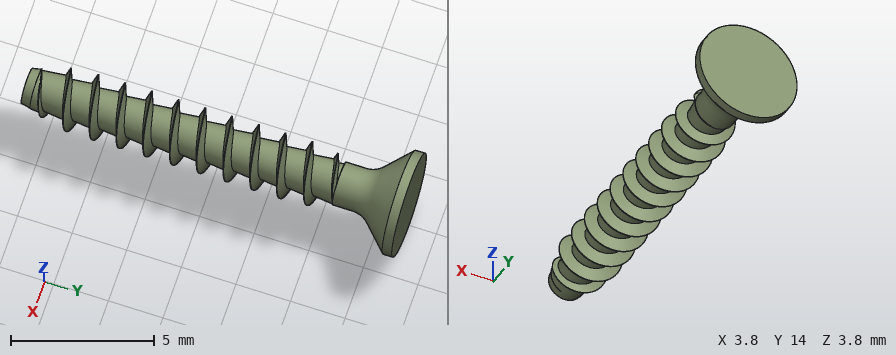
import cadquery as cq
import math

LENGTH = 14.0

HEAD_DIAMETER = 3.8
HEAD_RADIUS = HEAD_DIAMETER / 2
RIM_HEIGHT = 0.35
SHANK_RADIUS = 0.78
SHANK_END = 2.55
NECK_FILLET = 0.84

PITCH = 0.98
CORE_RADIUS_MAX = 0.77
CORE_RADIUS_MIN = 0.67
BORE_RADIUS = 0.42
TIP_RADIUS = 0.65
TIP_CONE_RADIUS = 0.71
TIP_CONE_HEIGHT = 0.35

THREAD_START = 2.48
CREST_RADIUS = 1.12
CREST_CLEARANCE = 0.14
CREST_HALF_WIDTH = 0.01
HEAD_SIDE_WIDTH = 0.17
TIP_SIDE_WIDTH = 0.119
MIN_HEIGHT_FRACTION = 0.04
FADE_IN_END = 1.8
FADE_IN_SINK = 0.24
FADE_OUT_START = 9.7
FADE_OUT_END = 11.5
FADE_OUT_SINK = 0.48

FIRST_TURN = -2
LAST_TURN = 13
POINTS_PER_TURN = 24


def make_head_and_shank():
    """Countersunk 45 degree head, blended by an arc into the plain shank."""
    diagonal = NECK_FILLET * math.sin(math.pi / 4)
    cone_end_radius = SHANK_RADIUS + NECK_FILLET - diagonal
    cone_end = RIM_HEIGHT + HEAD_RADIUS - cone_end_radius
    fillet_end = cone_end + diagonal
    arc_middle = (
        SHANK_RADIUS + NECK_FILLET * (1 - math.cos(math.pi / 8)),
        fillet_end - NECK_FILLET * math.sin(math.pi / 8),
    )
    return (
        cq.Workplane("XZ")
        .lineTo(HEAD_RADIUS, 0)
        .lineTo(HEAD_RADIUS, RIM_HEIGHT)
        .lineTo(cone_end_radius, cone_end)
        .threePointArc(arc_middle, (SHANK_RADIUS, fillet_end))
        .lineTo(SHANK_RADIUS, SHANK_END)
        .lineTo(0, SHANK_END)
        .close()
        .revolve(360, (0, 0, 0), (0, 1, 0))
    )


def ridge_fraction(turn):
    """Ridge height as a fraction of its full height, fading smoothly near both ends."""
    fade_in = max(0, 1 - turn / FADE_IN_END)
    fade_out = max(0, (turn - FADE_OUT_START) / (FADE_OUT_END - FADE_OUT_START))
    sink = FADE_IN_SINK * fade_in**2 + FADE_OUT_SINK * fade_out**2
    return max(MIN_HEIGHT_FRACTION, 1 - sink / (CREST_RADIUS - CORE_RADIUS_MIN))


def core_radius(distance):
    """Core radius at an axial distance past a crest line, towards the tip."""
    return CORE_RADIUS_MAX - (CORE_RADIUS_MAX - CORE_RADIUS_MIN) * distance / PITCH


def head_side_root(turn):
    offset = -HEAD_SIDE_WIDTH * ridge_fraction(turn)
    return core_radius(PITCH + offset), offset


def crest_radius(turn):
    return CORE_RADIUS_MIN + (CREST_RADIUS - CORE_RADIUS_MIN) * ridge_fraction(turn)


def head_side_crest(turn):
    return crest_radius(turn), -CREST_HALF_WIDTH * ridge_fraction(turn)


def tip_side_crest(turn):
    return crest_radius(turn), CREST_HALF_WIDTH * ridge_fraction(turn)


def tip_side_root(turn):
    offset = TIP_SIDE_WIDTH * ridge_fraction(turn)
    return core_radius(offset), offset


def bore(turn):
    return BORE_RADIUS, head_side_root(turn)[1]


def helix_edge(track, first_turn):
    """One right-handed turn of a track, as a smooth edge."""
    points = []
    for step in range(POINTS_PER_TURN + 1):
        turn = first_turn + step / POINTS_PER_TURN
        radius, offset = track(turn)
        angle = 2 * math.pi * turn
        height = THREAD_START + PITCH * turn + offset
        points.append(cq.Vector(radius * math.cos(angle), radius * math.sin(angle), height))
    return cq.Edge.makeSpline(points)


def radial_face(edges, end):
    """Flat face through the start (0) or finish (1) of a ring of helical edges."""
    corners = [edge.positionAt(end) for edge in edges]
    return cq.Face.makeFromWires(cq.Wire.makePolygon(corners, close=True))


def make_helical_sleeve():
    """Ridge and core surface over a central bore, closed by a helical face at each end."""
    outer_tracks = (head_side_root, head_side_crest, tip_side_crest, tip_side_root)
    rings = []
    for turn in range(FIRST_TURN, LAST_TURN):
        edges = [helix_edge(track, turn) for track in outer_tracks]
        rings.append(edges + [helix_edge(head_side_root, turn + 1)])
    bores = [helix_edge(bore, turn) for turn in range(FIRST_TURN, LAST_TURN + 1)]

    pairs = [pair for ring in rings for pair in zip(ring, ring[1:])]
    pairs += zip(bores, bores[1:])
    pairs += [(rings[0][0], bores[0]), (rings[-1][-1], bores[-1])]
    faces = [cq.Face.makeRuledSurface(first, second) for first, second in pairs]
    faces.append(radial_face(rings[0] + [bores[1], bores[0]], 0))
    faces.append(radial_face(rings[-1] + [bores[-1], bores[-2]], 1))
    return cq.Workplane(cq.Solid.makeSolid(cq.Shell.makeShell(faces)).fix())


def make_trim_envelope():
    """Space kept for the threaded part: from the shank end to the flat tip with its short cone."""
    clear_radius = CREST_RADIUS + CREST_CLEARANCE
    cone_start = LENGTH - TIP_CONE_HEIGHT
    return (
        cq.Workplane("XZ")
        .moveTo(0, SHANK_END)
        .lineTo(clear_radius, SHANK_END)
        .lineTo(clear_radius, cone_start)
        .lineTo(TIP_CONE_RADIUS, cone_start)
        .lineTo(TIP_RADIUS, LENGTH)
        .lineTo(0, LENGTH)
        .close()
        .revolve(360, (0, 0, 0), (0, 1, 0))
    )


def make_threaded_part():
    """Helical sleeve with its bore filled by a rod that overshoots both ends, then trimmed to length."""
    filler_radius = (BORE_RADIUS + CORE_RADIUS_MIN) / 2
    filler_start = THREAD_START + PITCH * (FIRST_TURN - 1)
    filler_length = PITCH * (LAST_TURN - FIRST_TURN + 3)
    filler = cq.Workplane("XY", origin=(0, 0, filler_start)).circle(filler_radius).extrude(filler_length)
    return make_helical_sleeve().union(filler).intersect(make_trim_envelope())


screw = make_threaded_part().union(make_head_and_shank())
result = screw.rotate((0, 0, 0), (1, 0, 0), 90)